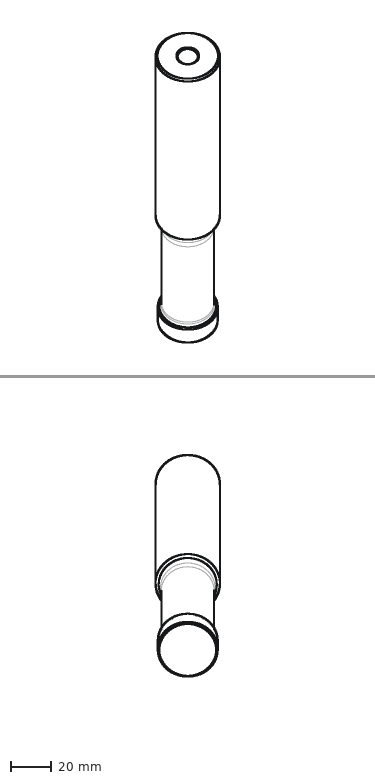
import cadquery as cq
import math

total_length = 200.0
shank_diameter = 32.0
shank_bottom = 79.8
shank_top_chamfer = 1.0

head_diameter = 29.8
head_height = 11.5
head_edge_chamfer = 0.8

neck_diameter = 26.2
neck_root_diameter = head_diameter - 2 * head_edge_chamfer
lower_blend_start = 13.0
lower_blend_end = 14.2
lower_cone_top_diameter = 26.5
upper_blend_start = 71.0
upper_blend_end = 74.5
upper_cone_bottom_diameter = 27.0
shoulder_diameter = 28.8
shoulder_bottom = 78.5

hole_diameter = 10.0
hole_depth = 25.0
hole_mouth_diameter = 11.2
hole_tip_angle = 118.0


def make_head():
    """Short disc with both rims chamfered."""
    disc = cq.Workplane("XY").circle(head_diameter / 2).extrude(head_height)
    return disc.faces("<Z or >Z").edges().chamfer(head_edge_chamfer)


def revolve_about_z(profile):
    """Turn a closed half-section in the XZ plane about the Z axis."""
    return profile.close().revolve(360, (0, 0, 0), (0, 1, 0))


def make_center_hole():
    """Drilled hole with a chamfered mouth and a conical bottom."""
    hole_radius = hole_diameter / 2
    mouth_radius = hole_mouth_diameter / 2
    mouth_depth = mouth_radius - hole_radius
    hole_bottom = total_length - hole_depth
    tip_height = hole_radius / math.tan(math.radians(hole_tip_angle / 2))
    profile = (
        cq.Workplane("XZ")
        .moveTo(0, total_length)
        .lineTo(mouth_radius, total_length)
        .lineTo(hole_radius, total_length - mouth_depth)
        .lineTo(hole_radius, hole_bottom)
        .lineTo(0, hole_bottom - tip_height)
    )
    return revolve_about_z(profile)


def make_holder():
    """Neck and shank turned as one piece, standing on the head."""
    shank_radius = shank_diameter / 2
    neck_radius = neck_diameter / 2
    profile = (
        cq.Workplane("XZ")
        .moveTo(0, head_height)
        .lineTo(neck_root_diameter / 2, head_height)
        .lineTo(lower_cone_top_diameter / 2, lower_blend_start)
        .tangentArcPoint((neck_radius, lower_blend_end), relative=False)
        .lineTo(neck_radius, upper_blend_start)
        .tangentArcPoint((upper_cone_bottom_diameter / 2, upper_blend_end), relative=False)
        .lineTo(shoulder_diameter / 2, shoulder_bottom)
        .lineTo(shank_radius, shank_bottom)
        .lineTo(shank_radius, total_length - shank_top_chamfer)
        .lineTo(shank_radius - shank_top_chamfer, total_length)
        .lineTo(0, total_length)
    )
    return revolve_about_z(profile).cut(make_center_hole())


head = make_head()
holder = make_holder()

result = cq.Compound.makeCompound([head.val(), holder.val()])